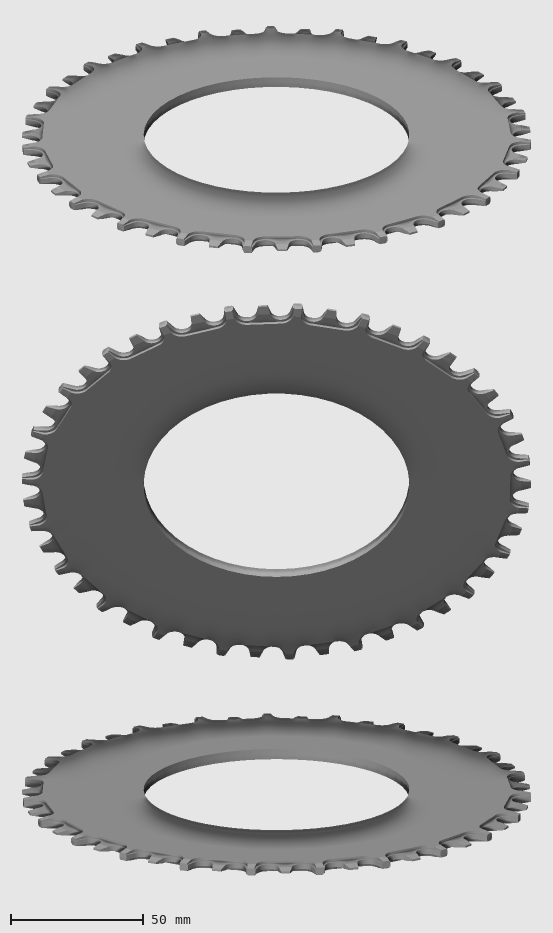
import cadquery as cq
import math

TOOTH_COUNT = 46
TIP_RADIUS = 95.8
BORE_DIAMETER = 100.0
BODY_THICKNESS = 4.0

ROOT_RADIUS = 89.0
ROLLER_RADIUS = 3.8
PITCH_RADIUS = ROOT_RADIUS + ROLLER_RADIUS
TOOTH_ANGLE = 360 / TOOTH_COUNT
HALF_TOOTH_ANGLE = TOOTH_ANGLE / 2

PAIR_COUNT = TOOTH_COUNT // 2
THIN_TOOTH_DIRECTION = 90

CORE_THICKNESS = 2.0
CORE_TIP_HALF_WIDTH = 1.7

SETBACK = 1.0
WIDE_POCKET_RADIUS = ROLLER_RADIUS + SETBACK
WIDE_TIP_HALF_WIDTH = 1.3

TAPER_START_RADIUS = 92.1
TAPER_DEPTH = 0.5

CLEARANCE = 2.0
CUTTER_HALF_WIDTH = 3.8


def rotated(point, degrees):
    """Turn a point about the centre, clockwise seen from +Z."""
    angle = math.radians(degrees)
    x, y = point
    return (
        x * math.cos(angle) + y * math.sin(angle),
        y * math.cos(angle) - x * math.sin(angle),
    )


def mirrored(point):
    return (-point[0], point[1])


def pocket_centre():
    """Centre of the roller pocket on the clockwise side of a tooth that points along +Y."""
    return rotated((0, PITCH_RADIUS), HALF_TOOTH_ANGLE)


def flank_end(tip_half_width, pocket_radius):
    """Point where the straight flank from the tip corner runs tangent into the pocket arc."""
    centre_x, centre_y = pocket_centre()
    run = centre_x - tip_half_width
    drop = centre_y - TIP_RADIUS
    distance = math.hypot(run, drop)
    flank_length = math.sqrt(distance**2 - pocket_radius**2)
    direction = math.atan2(drop, run) - math.asin(pocket_radius / distance)
    return (
        tip_half_width + flank_length * math.cos(direction),
        TIP_RADIUS + flank_length * math.sin(direction),
    )


def layer_sketch(thickness):
    """Workplane at the bottom of a layer that is centred on the mid-plane."""
    return cq.Workplane("XY", origin=(0, 0, -thickness / 2))


def core_layer():
    """Thin layer carrying all the teeth."""
    tip = (CORE_TIP_HALF_WIDTH, TIP_RADIUS)
    flank = flank_end(CORE_TIP_HALF_WIDTH, ROLLER_RADIUS)
    root = rotated((0, ROOT_RADIUS), HALF_TOOTH_ANGLE)

    outline = layer_sketch(CORE_THICKNESS).moveTo(*mirrored(tip))
    for tooth in range(TOOTH_COUNT):
        angle = tooth * TOOTH_ANGLE
        next_angle = angle + TOOTH_ANGLE
        outline = (
            outline.lineTo(*rotated(tip, angle))
            .lineTo(*rotated(flank, angle))
            .threePointArc(rotated(root, angle), rotated(mirrored(flank), next_angle))
        )
        if tooth < TOOTH_COUNT - 1:
            outline = outline.lineTo(*rotated(mirrored(tip), next_angle))
    return outline.close().extrude(CORE_THICKNESS)


def wide_layer():
    """Full-thickness layer carrying every second tooth, straight-edged below the thin teeth."""
    tip = (WIDE_TIP_HALF_WIDTH, TIP_RADIUS)
    flank = flank_end(WIDE_TIP_HALF_WIDTH, WIDE_POCKET_RADIUS)
    centre_x, centre_y = pocket_centre()

    edge_start = rotated((-centre_x, centre_y - WIDE_POCKET_RADIUS), TOOTH_ANGLE)
    edge_end = rotated((centre_x, centre_y - WIDE_POCKET_RADIUS), TOOTH_ANGLE)

    chord_x = (flank[0] + edge_start[0]) / 2 - centre_x
    chord_y = (flank[1] + edge_start[1]) / 2 - centre_y
    stretch = WIDE_POCKET_RADIUS / math.hypot(chord_x, chord_y)
    arc_middle = (centre_x + chord_x * stretch, centre_y + chord_y * stretch)

    outline = layer_sketch(BODY_THICKNESS).moveTo(*rotated(mirrored(tip), TOOTH_ANGLE))
    for pair in range(PAIR_COUNT):
        angle = (2 * pair + 1) * TOOTH_ANGLE
        next_angle = angle + 2 * TOOTH_ANGLE
        outline = (
            outline.lineTo(*rotated(tip, angle))
            .lineTo(*rotated(flank, angle))
            .threePointArc(rotated(arc_middle, angle), rotated(edge_start, angle))
            .lineTo(*rotated(edge_end, angle))
            .threePointArc(rotated(mirrored(arc_middle), next_angle), rotated(mirrored(flank), next_angle))
        )
        if pair < PAIR_COUNT - 1:
            outline = outline.lineTo(*rotated(mirrored(tip), next_angle))
    return outline.close().extrude(BODY_THICKNESS)


def tip_cutters(thickness, start_angle):
    """Wedges that thin both faces of every second tooth, from the tooth at start_angle onward."""
    reach = TIP_RADIUS + CLEARANCE - TAPER_START_RADIUS
    drop = reach * TAPER_DEPTH / (TIP_RADIUS - TAPER_START_RADIUS)
    face = thickness / 2
    wedge = (
        cq.Workplane("XZ")
        .moveTo(0, face)
        .lineTo(reach, face)
        .lineTo(reach, face - drop)
        .close()
        .extrude(CUTTER_HALF_WIDTH, both=True)
    )
    upper = (
        cq.Workplane("XY")
        .polarArray(TAPER_START_RADIUS, start_angle, 360, PAIR_COUNT)
        .eachpoint(lambda location: wedge.val().moved(location))
    )
    return upper.add(upper.mirror("XY")).combine(glue=True)


plate = core_layer().union(wide_layer())
plate = plate.cut(tip_cutters(CORE_THICKNESS, THIN_TOOTH_DIRECTION))
plate = plate.cut(tip_cutters(BODY_THICKNESS, THIN_TOOTH_DIRECTION - TOOTH_ANGLE))
bore = cq.Workplane("XY").circle(BORE_DIAMETER / 2).extrude(BODY_THICKNESS, both=True)
result = cq.Workplane(plate.cut(bore).solids().val())